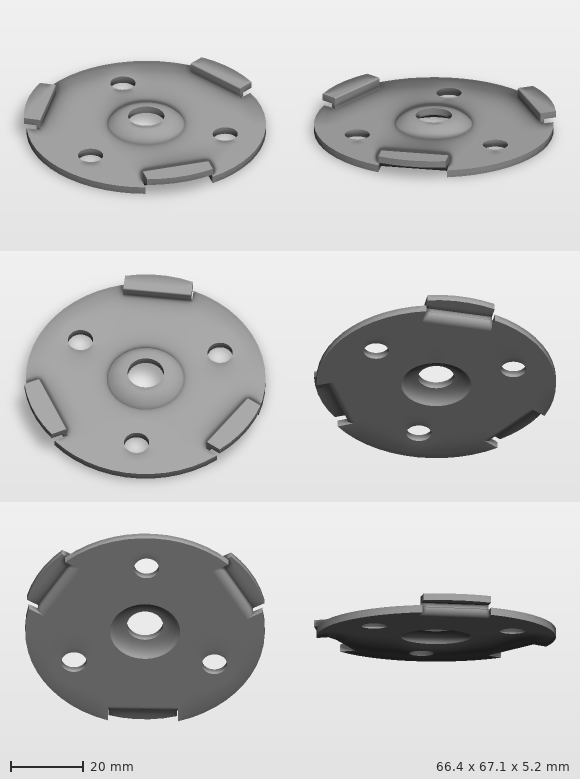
import cadquery as cq
import math

disc_radius = 33.2
disc_thickness = 2.1

dome_base_radius = 10.8
dome_flat_radius = 5.3
dome_top = 4.7
bore_radius = 5.05

hole_radius = 3.5
hole_circle_radius = 22.5
hole_angles = (30, 150, 270)

tab_angles = (90, 210, 330)
tab_width = 19.0
tab_clearance = 0.2
tab_outer_radius = 33.9
tab_top = 5.2
flange_thickness = 1.9
web_inner = 28.0
web_thickness = 1.0
bend_radius = 2.2
edge_radius = 0.4
foot_radius = 0.55

web_outer = web_inner + web_thickness
flange_bottom = tab_top - flange_thickness
notch_width = tab_width + 2 * tab_clearance
diagonal = math.sqrt(0.5)


def make_disc():
    return cq.Workplane("XY").circle(disc_radius).extrude(disc_thickness)


def make_dome_solid(base_z, top_z, flank_radius):
    """Solid of revolution whose rounded flank leaves the flat top tangentially."""
    base_angle = math.acos(1 - (top_z - base_z) / flank_radius)
    base_radius = dome_flat_radius + flank_radius * math.sin(base_angle)
    flank_middle = (
        dome_flat_radius + flank_radius * math.sin(base_angle / 2),
        top_z - flank_radius * (1 - math.cos(base_angle / 2)),
    )
    return (
        cq.Workplane("XZ")
        .moveTo(0, base_z)
        .lineTo(base_radius, base_z)
        .threePointArc(flank_middle, (dome_flat_radius, top_z))
        .lineTo(0, top_z)
        .close()
        .revolve(360, (0, 0, 0), (0, 1, 0))
    )


def add_dome(body):
    """Raise a hollow dome with the wall thickness of the disc, pierced by the bore."""
    dome_rise = dome_top - disc_thickness
    dome_run = dome_base_radius - dome_flat_radius
    outer_flank = (dome_run**2 + dome_rise**2) / (2 * dome_rise)
    inner_flank = outer_flank - disc_thickness
    dome = make_dome_solid(disc_thickness, dome_top, outer_flank)
    hollow = make_dome_solid(0, dome_rise, inner_flank)
    bore = cq.Workplane("XY").circle(bore_radius).extrude(dome_top)
    return body.union(dome).cut(hollow).cut(bore)


def extrude_across(profile, width):
    """Extrude a closed radial (Y, Z) profile symmetrically along X."""
    return profile.close().extrude(width / 2, both=True)


def make_notch():
    """Opening in the rim, bounded inwards by the rounded outside of the bend."""
    bend_start = web_outer - bend_radius
    bend_middle = (bend_start + bend_radius * diagonal, bend_radius * (1 - diagonal))
    profile = (
        cq.Workplane("YZ")
        .moveTo(bend_start, 0)
        .threePointArc(bend_middle, (web_outer, bend_radius))
        .lineTo(tab_outer_radius, bend_radius)
        .lineTo(tab_outer_radius, 0)
    )
    return extrude_across(profile, notch_width)


def make_tab():
    """Web and flange, rounded where the web meets the disc and the flange top."""
    edge_inset = edge_radius * (1 - diagonal)
    foot_inset = foot_radius * (1 - diagonal)
    foot_start = web_inner - foot_radius
    profile = (
        cq.Workplane("YZ")
        .moveTo(foot_start, disc_thickness)
        .threePointArc(
            (web_inner - foot_inset, disc_thickness + foot_inset),
            (web_inner, disc_thickness + foot_radius),
        )
        .lineTo(web_inner, tab_top - edge_radius)
        .threePointArc(
            (web_inner + edge_inset, tab_top - edge_inset),
            (web_inner + edge_radius, tab_top),
        )
        .lineTo(tab_outer_radius, tab_top)
        .lineTo(tab_outer_radius, flange_bottom)
        .lineTo(web_outer, flange_bottom)
        .lineTo(web_outer, bend_radius)
        .lineTo(web_outer - bend_radius, 0)
        .lineTo(foot_start - bend_radius, 0)
        .lineTo(foot_start - bend_radius, disc_thickness)
    )
    rim = cq.Workplane("XY").circle(tab_outer_radius).extrude(tab_top)
    return extrude_across(profile, tab_width).intersect(rim)


def add_tabs(body):
    """Open a notch and stand a tab in it at each tab position."""
    notch = make_notch()
    tab = make_tab()
    for angle in tab_angles:
        turn = angle - 90
        body = body.cut(notch.rotate((0, 0, 0), (0, 0, 1), turn))
        body = body.union(tab.rotate((0, 0, 0), (0, 0, 1), turn))
    return body


def drill_mounting_holes(body):
    for angle in hole_angles:
        x = hole_circle_radius * math.cos(math.radians(angle))
        y = hole_circle_radius * math.sin(math.radians(angle))
        hole = cq.Workplane("XY").center(x, y).circle(hole_radius).extrude(disc_thickness)
        body = body.cut(hole)
    return body


result = make_disc()
result = add_dome(result)
result = add_tabs(result)
result = drill_mounting_holes(result)